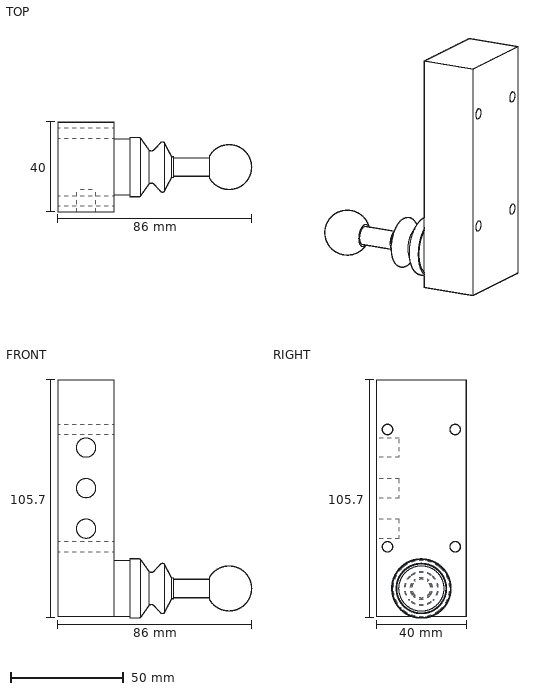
import cadquery as cq
import math

body_thickness = 25.0
body_width = 40.0
body_height = 105.0

port_diameter = 8.6
port_depth = 10.0
port_pitch = 18
port_count = 3
pattern_height = 57.0
mount_hole_diameter = 4.5
mount_spacing_y = 30.0
mount_spacing_z = 52.0

base_radius = 12.5
collar_radius = 13.2
collar_edge_radius = 12.9
groove_edge_radius = 7.5
groove_radius = 7.2
rim_edge_radius = 10.9
rim_radius = 11.2
stem_flange_radius = 4.7
stem_radius = 4.1
ball_radius = 10.0
ball_flat_radius = 5.0

collar_start = 7.0
collar_rounding_start = 10.8
collar_end = 11.7
groove_start = 15.5
groove_end = 17.5
rim_start = 20.6
rim_end = 22.2
stem_flange_start = 25.5
stem_flange_end = 26.3
lever_length = 61.0

lever_height = base_radius
ball_center = lever_length - ball_radius
ball_start = ball_center - math.sqrt(ball_radius**2 - ball_flat_radius**2)


def make_body():
    return cq.Workplane("XY").box(
        body_thickness, body_width, body_height, centered=(False, True, False)
    )


def make_ports():
    """Blind cylinders running inwards from the -Y face."""
    return (
        cq.Workplane("XZ", origin=(body_thickness / 2, -body_width / 2, pattern_height))
        .rarray(1.1, port_pitch, 1, port_count)
        .circle(port_diameter / 2)
        .extrude(-port_depth)
    )


def make_mount_holes():
    """Four cylinders through the body along X, centred on the middle port."""
    return (
        cq.Workplane("YZ", origin=(0, 0, pattern_height))
        .rarray(mount_spacing_y, mount_spacing_z, 2, 2)
        .circle(mount_hole_diameter / 2)
        .extrude(body_thickness)
    )


def make_lever():
    """Half profile of boot, stem and ball, revolved about the lever axis."""
    groove_middle = (groove_start + groove_end) / 2
    rim_middle = (rim_start + rim_end) / 2
    profile = (
        cq.Workplane("XZ", origin=(body_thickness, 0, lever_height))
        .lineTo(0, base_radius)
        .lineTo(collar_start, base_radius)
        .lineTo(collar_start, collar_radius)
        .lineTo(collar_rounding_start, collar_radius)
        .tangentArcPoint((collar_end, collar_edge_radius), relative=False)
        .lineTo(groove_start, groove_edge_radius)
        .threePointArc((groove_middle, groove_radius), (groove_end, groove_edge_radius))
        .lineTo(rim_start, rim_edge_radius)
        .threePointArc((rim_middle, rim_radius), (rim_end, rim_edge_radius))
        .lineTo(stem_flange_start, stem_flange_radius)
        .lineTo(stem_flange_end, stem_flange_radius)
        .lineTo(stem_flange_end, stem_radius)
        .lineTo(ball_start, stem_radius)
        .lineTo(ball_start, ball_flat_radius)
        .threePointArc((ball_center, ball_radius), (lever_length, 0))
        .close()
    )
    return profile.revolve(360, (0, 0, 0), (1, 0, 0))


result = make_body().cut(make_ports()).cut(make_mount_holes()).union(make_lever())